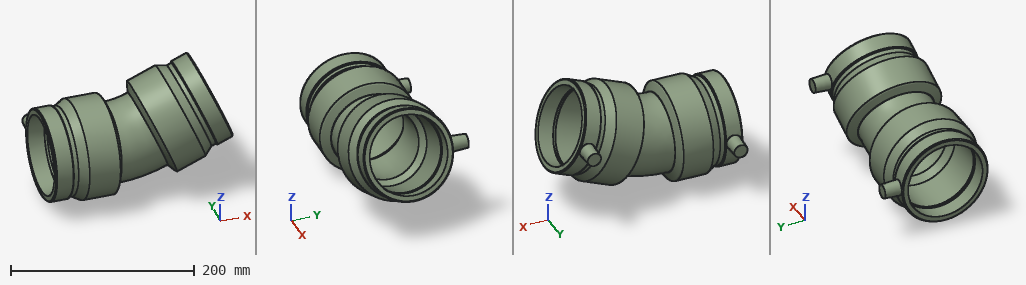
import cadquery as cq
import math

bend_angle = 22.5
overall_length = 214.0
socket_length = 77.7

flange_radius = 52.0
flange_chamfer = 1.3
flange_end = 20.8
flange_back_chamfer = 1.0
neck_radius = 100.8 / 2
neck_end = 26.3
body_radius = 113.0 / 2
body_start = 37.0
body_end = 72.3
body_edge_length = 1.3
body_edge_drop = 1.7
shoulder_radius = 45.5

bend_radians = math.radians(bend_angle)
mouth_reach = (flange_radius - flange_chamfer) * math.sin(bend_radians)
leg_length = (overall_length - mouth_reach) / (1 + math.cos(bend_radians))

pipe_radius = 90.0 / 2
pipe_bore_radius = 39.2
bend_radius = (leg_length - socket_length) / math.tan(bend_radians / 2)

bore_radius = 90.0 / 2
groove_radius = 45.5
groove_start = 19.5
groove_end = 22.5
bore_end = 68.5

terminal_offset = 10.7
terminal_tip = 71.0
terminal_tip_radius = 8.0
terminal_base = 48.2
terminal_base_radius = 9.2


def revolve_about_x(points):
    """Turn a closed outline of (x, radius) points about the X axis."""
    return cq.Workplane("XY").polyline(points).close().revolve(360, (0, 0, 0), (1, 0, 0))


def socket_outside():
    return revolve_about_x([
        (0, 0),
        (0, flange_radius - flange_chamfer),
        (flange_chamfer, flange_radius),
        (flange_end - flange_back_chamfer, flange_radius),
        (flange_end, flange_radius - flange_back_chamfer),
        (flange_end, neck_radius),
        (neck_end, neck_radius),
        (body_start, body_radius),
        (body_end, body_radius),
        (body_end + body_edge_length, body_radius - body_edge_drop),
        (socket_length, shoulder_radius),
        (socket_length, 0),
    ])


def socket_bore():
    return revolve_about_x([
        (0, 0),
        (0, bore_radius),
        (groove_start, bore_radius),
        (groove_start, groove_radius),
        (groove_end, groove_radius),
        (groove_end, bore_radius),
        (bore_end, bore_radius),
        (socket_length, pipe_bore_radius),
        (socket_length, 0),
    ])


def terminal():
    """Cone frustum rising along +Y from inside the flange wall."""
    return (
        cq.Workplane("XY")
        .moveTo(terminal_offset, terminal_base)
        .lineTo(terminal_offset + terminal_base_radius, terminal_base)
        .lineTo(terminal_offset + terminal_tip_radius, terminal_tip)
        .lineTo(terminal_offset, terminal_tip)
        .close()
        .revolve(360, (terminal_offset, 0, 0), (terminal_offset, 1, 0))
    )


def bend(radius):
    """Solid round bend that joins the inner ends of the two sockets."""
    return (
        cq.Workplane("YZ", origin=(socket_length, 0, 0))
        .circle(radius)
        .revolve(bend_angle, (2.1, bend_radius, 0), (-2.1, bend_radius, 0))
    )


def on_both_legs(shape):
    """Join a first-leg shape with its mirror image on the second leg."""
    second = (
        shape.mirror("YZ", (leg_length, 0, 0))
        .rotate((leg_length, 0, 0), (leg_length, 1, 0), -bend_angle)
    )
    return shape.union(second)


outside = on_both_legs(socket_outside().union(terminal())).union(bend(pipe_radius))
bore = on_both_legs(socket_bore()).union(bend(pipe_bore_radius))
result = outside.cut(bore)